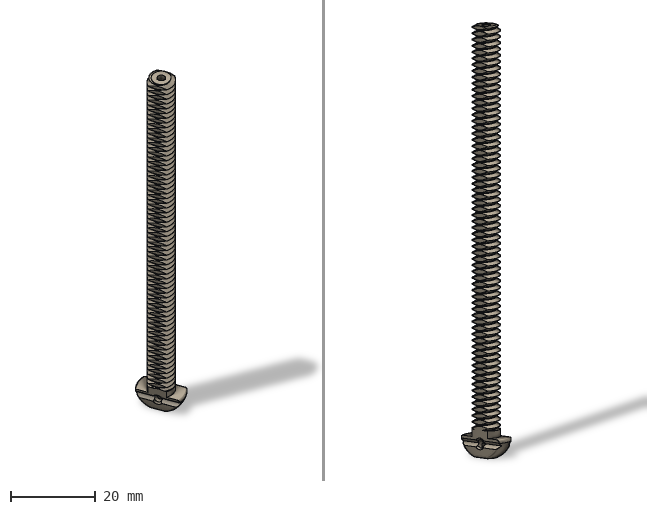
import cadquery as cq
import math

LENGTH = 103.7
FLAT_WIDTH = 5.0

HEAD_RADIUS = 12.2 / 2
HEAD_HEIGHT = 5.0
DOME_RADIUS = 6.3
DOME_CENTER_HEIGHT = 5.7
RIM_ROUND = 0.5
UNDERSIDE_ROUND = 0.6

STEM_RADIUS = 6.8 / 2
THREAD_START = 6.7
THREAD_TURNS = 64.5
PITCH = (LENGTH - THREAD_START) / THREAD_TURNS
ROOT_RADIUS = 2.3
FLANK_ANGLE = 30
TIP_RADIUS = 2.4
TIP_CHAMFER_HEIGHT = 0.4

HOLE_RADIUS = 2.0 / 2
CROSS_HOLE_HEIGHT = 3.4
MOUTH_CHAMFER = 0.4
GROOVE_DEPTH = 1.0
GROOVE_HALF_HEIGHT = 0.8

OVERLAP = 0.1

FLAT_Y = FLAT_WIDTH / 2


def rod(radius, bottom, top):
    return cq.Workplane("XY", origin=(0, 0, bottom)).circle(radius).extrude(top - bottom)


def flat_sided(body):
    """Trim a body to the two flat sides."""
    slab = cq.Workplane("XY").box(4 * HEAD_RADIUS, FLAT_WIDTH, LENGTH, centered=(True, True, False))
    return body.intersect(slab)


def make_head():
    dome_top = DOME_CENTER_HEIGHT - math.sqrt(DOME_RADIUS**2 - HEAD_RADIUS**2)
    base_radius = math.sqrt(DOME_RADIUS**2 - DOME_CENTER_HEIGHT**2)
    round_head = (
        cq.Workplane("XZ")
        .lineTo(0, HEAD_HEIGHT)
        .lineTo(HEAD_RADIUS - RIM_ROUND, HEAD_HEIGHT)
        .radiusArc((HEAD_RADIUS, HEAD_HEIGHT - RIM_ROUND), RIM_ROUND)
        .lineTo(HEAD_RADIUS, dome_top)
        .radiusArc((base_radius, 0), DOME_RADIUS)
        .close()
        .revolve(360, (0, 0, 0), (0, 1, 0))
    )
    head = flat_sided(round_head)
    reach = 2 * HEAD_RADIUS
    underside = cq.selectors.BoxSelector((-reach, -reach, -OVERLAP), (reach, reach, CROSS_HOLE_HEIGHT))
    return head.faces("<Y or >Y").edges(underside).fillet(UNDERSIDE_ROUND)


def make_groove(side):
    """V-groove along X in one flat side of the head."""
    face_y = side * FLAT_Y
    return (
        cq.Workplane("YZ")
        .polyline([
            (face_y, CROSS_HOLE_HEIGHT - GROOVE_HALF_HEIGHT),
            (face_y - side * GROOVE_DEPTH, CROSS_HOLE_HEIGHT),
            (face_y, CROSS_HOLE_HEIGHT + GROOVE_HALF_HEIGHT),
        ])
        .close()
        .extrude(HEAD_RADIUS, both=True)
    )


def make_cross_hole():
    """Hole along Y with a 45 degree countersink at each mouth."""
    mouth_radius = HOLE_RADIUS + MOUTH_CHAMFER
    return (
        cq.Workplane("XY")
        .lineTo(mouth_radius, 0)
        .lineTo(HOLE_RADIUS, MOUTH_CHAMFER)
        .lineTo(HOLE_RADIUS, FLAT_WIDTH - MOUTH_CHAMFER)
        .lineTo(mouth_radius, FLAT_WIDTH)
        .lineTo(0, FLAT_WIDTH)
        .close()
        .revolve(360, (0, 0, 0), (0, 1, 0))
        .translate((0, -FLAT_Y, CROSS_HOLE_HEIGHT))
    )


def make_thread():
    """Sharp right-handed ridge, trimmed to the flat sides and the chamfered tip."""
    inner = ROOT_RADIUS - OVERLAP
    half_width = (STEM_RADIUS - inner) * math.tan(math.radians(FLANK_ANGLE))

    turn = cq.Wire.makeHelix(PITCH, PITCH, inner).Edges()[0]
    turns = math.ceil(THREAD_TURNS) + 2
    path = cq.Wire.assembleEdges([turn.translate(cq.Vector(0, 0, i * PITCH)) for i in range(turns)])
    ridge = (
        cq.Workplane("XZ")
        .polyline([(inner, -half_width), (STEM_RADIUS, 0), (inner, half_width)])
        .close()
        .sweep(cq.Workplane(path), isFrenet=True)
        .translate((0, 0, THREAD_START - PITCH))
    )

    limit_radius = STEM_RADIUS + OVERLAP
    limit = rod(limit_radius, THREAD_START - OVERLAP, LENGTH)
    limit = limit.faces(">Z").chamfer(TIP_CHAMFER_HEIGHT, limit_radius - TIP_RADIUS)
    return ridge.intersect(flat_sided(limit))


stem = flat_sided(rod(STEM_RADIUS, HEAD_HEIGHT - OVERLAP, THREAD_START))
core = rod(ROOT_RADIUS, HEAD_HEIGHT, LENGTH)
body = make_head().union(stem).union(core)

for side in (1, -1):
    body = body.cut(make_groove(side))
body = body.cut(make_cross_hole())
body = body.cut(rod(HOLE_RADIUS, 0, LENGTH))

result = body.union(make_thread(), clean=False)